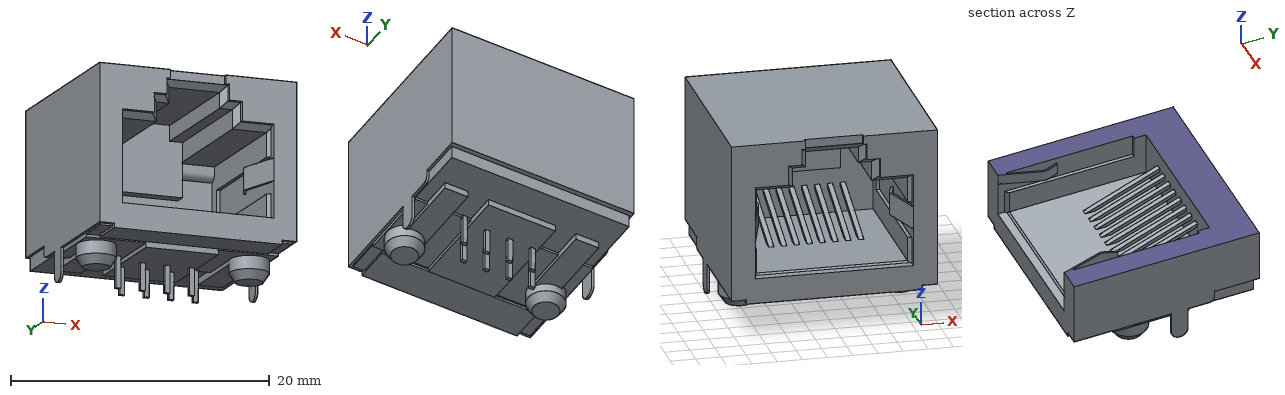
import cadquery as cq
import math

EPS = 0.01

WIDTH = 16.35
DEPTH = 15.7
TOP_Z = 13.1
SHEET = 0.21
SHELL_BOTTOM_Z = 0.35
REAR_RELIEF_Y = 11.86
REAR_RELIEF_Z = 1.34
REAR_RELIEF_RADIUS = 0.45
NOTCH_WIDTH = 4.6
NOTCH_DEPTH = 0.3
FRONT_STEP = 0.35

HOUSING_REAR_Y = 15.28
HOUSING_BOTTOM_Z = 0.21
FRONT_PAD_HALF = 6.97
FRONT_PAD_REAR_Y = 3.04
MID_PAD_FRONT_Y = 3.38
MID_PAD_REAR_Y = 9.83
PIN_PLATE_WIDTH = 6.0
STANDOFF_REAR_Y = 12.48
STANDOFF_BOTTOM_Z = -0.35
RAIL_INNER_X = 4.85
RAIL_OUTER_X = 6.9

OPEN_BOTTOM_Z = 2.05
OPEN_HALVES = (6.27, 3.65, 2.59)
OPEN_TOPS = (9.56, 11.12, 12.39)

STEP_CHAMFER = 0.5
CAVITY_FRONT_Y = FRONT_STEP + STEP_CHAMFER
CAVITY_REAR_Y = 12.4
CAVITY_BOTTOM_Z = 2.19
CAVITY_HALVES = (5.98,) + tuple(half - STEP_CHAMFER for half in OPEN_HALVES[1:])
CAVITY_TOPS = tuple(top - STEP_CHAMFER for top in OPEN_TOPS)
STOP_FRONT_Y = 11.4
STOP_BOTTOM_Z = 6.2
LEDGE_RADIUS = 0.53
LEDGE_BOTTOM_Z = 7.89
LEDGE_FRONT_Y = CAVITY_REAR_Y - LEDGE_RADIUS

POCKET_BOTTOM_Z = 4.14
POCKET_TOP_Z = 7.08
POCKET_REAR_Y = 11.4
SPRING_BOTTOM_Z = 5.06
SPRING_TOP_Z = 6.87
SPRING_ROOT_Y = 0.02
SPRING_BEND = (5.18, 3.6)
SPRING_TIP = (5.6, 4.75)
SPRING_BEND_RADIUS = 0.8

CONTACT_COUNT = 8
CONTACT_PITCH = 1.02
CONTACT_WIDTH = 0.41
CONTACT_THICKNESS = 0.3
CONTACT_START_Y = 6.1
CONTACT_TOP_Z = 4.6
PIN_ROWS_Y = (7.97, 9.75)
PIN_BOTTOM_Z = -2.55

PEG_X = 6.35
PEG_Y = 5.42
PEG_RADIUS = 1.57
PEG_TIP_RADIUS = 1.08
PEG_SHOULDER_Z = -1.06
PEG_BOTTOM_Z = -1.77
TAIL_Y = 8.94
TAIL_RADIUS = 0.7
TAIL_BOTTOM_Z = -2.26


def block(x_range, y_range, z_range):
    """Axis-aligned box between the given limits."""
    (x0, x1), (y0, y1), (z0, z1) = x_range, y_range, z_range
    return cq.Workplane("XY").box(x1 - x0, y1 - y0, z1 - z0, centered=False).translate((x0, y0, z0))


def centred_block(half_width, y_range, z_range):
    """Box symmetric about the middle plane."""
    return block((-half_width, half_width), y_range, z_range)


def both_sides(solid):
    """The solid together with its mirror image across the middle plane."""
    return solid.union(solid.mirror("YZ"))


def stepped_outline(y, bottom_z, halves, tops):
    """Closed staircase profile, mirrored in X, on the plane at the given Y."""
    right = [(halves[0], bottom_z)]
    for index, (half, top) in enumerate(zip(halves, tops)):
        if index > 0:
            right.append((half, tops[index - 1]))
        right.append((half, top))
    left = [(-x, z) for x, z in reversed(right)]
    return cq.Workplane("XZ", origin=(0, y, 0)).polyline(right + left).close()


def make_shell():
    """Shield outline with the raised rear part of its lower edge."""
    profile = (
        cq.Workplane("YZ", origin=(-WIDTH / 2, 0, 0))
        .moveTo(0, SHELL_BOTTOM_Z)
        .lineTo(REAR_RELIEF_Y - REAR_RELIEF_RADIUS, SHELL_BOTTOM_Z)
        .radiusArc((REAR_RELIEF_Y, SHELL_BOTTOM_Z + REAR_RELIEF_RADIUS), -REAR_RELIEF_RADIUS)
        .lineTo(REAR_RELIEF_Y, REAR_RELIEF_Z)
        .lineTo(DEPTH, REAR_RELIEF_Z)
        .lineTo(DEPTH, TOP_Z)
        .lineTo(0, TOP_Z)
        .close()
    )
    return profile.extrude(WIDTH)


def make_housing():
    """Plastic body with its standoff pads, the plate around the pins and a rail behind each peg."""
    half = WIDTH / 2 - SHEET
    body = centred_block(half, (FRONT_STEP, HOUSING_REAR_Y), (HOUSING_BOTTOM_Z, REAR_RELIEF_Z))
    front_pad = centred_block(FRONT_PAD_HALF, (0, FRONT_PAD_REAR_Y), (0, REAR_RELIEF_Z))
    mid_pad = centred_block(half, (MID_PAD_FRONT_Y, MID_PAD_REAR_Y), (0, REAR_RELIEF_Z))
    standoff_z = (STANDOFF_BOTTOM_Z, REAR_RELIEF_Z)
    plate = centred_block(PIN_PLATE_WIDTH / 2, (MID_PAD_FRONT_Y, STANDOFF_REAR_Y), standoff_z)
    rails = both_sides(block((RAIL_INNER_X, RAIL_OUTER_X), (PEG_Y, STANDOFF_REAR_Y), standoff_z))
    return body.union(front_pad).union(mid_pad).union(plate).union(rails)


def make_opening():
    """Stepped plug opening, narrowed by 45 degree chamfers, and the cavity behind it."""
    outline = (OPEN_BOTTOM_Z, OPEN_HALVES, OPEN_TOPS)
    inner = (CAVITY_BOTTOM_Z, CAVITY_HALVES, CAVITY_TOPS)
    widened = (
        CAVITY_BOTTOM_Z - STEP_CHAMFER,
        [half + STEP_CHAMFER for half in CAVITY_HALVES],
        [top + STEP_CHAMFER for top in CAVITY_TOPS],
    )
    entry = stepped_outline(0, *outline).extrude(-FRONT_STEP)
    mouth = stepped_outline(0, *outline).extrude(-CAVITY_FRONT_Y)
    wide_end = stepped_outline(FRONT_STEP, *widened).val()
    narrow_end = stepped_outline(CAVITY_FRONT_Y, *inner).val()
    funnel = cq.Workplane(cq.Solid.makeLoft([wide_end, narrow_end], True))
    cavity = stepped_outline(CAVITY_FRONT_Y, *inner).extrude(CAVITY_FRONT_Y - CAVITY_REAR_Y)
    return entry.union(mouth.intersect(funnel)).union(cavity)


def make_latch_notch():
    """Shallow notch in the front face above the opening."""
    return centred_block(NOTCH_WIDTH / 2, (0, NOTCH_DEPTH), (OPEN_TOPS[-1] - EPS, TOP_Z))


def make_side_pockets():
    """Recesses in both cavity walls that give the springs room."""
    return both_sides(
        block(
            (CAVITY_HALVES[0] - EPS, OPEN_HALVES[0]),
            (FRONT_STEP, POCKET_REAR_Y),
            (POCKET_BOTTOM_Z, POCKET_TOP_Z),
        )
    )


def make_stop_block():
    """Block in the upper rear of the cavity that ends the latch channel."""
    half = CAVITY_HALVES[1]
    return centred_block(half, (STOP_FRONT_Y, CAVITY_REAR_Y), (STOP_BOTTOM_Z, OPEN_TOPS[-1]))


def make_rear_ledges():
    """Round-nosed ledges on the cavity rear wall, beside the stop block."""
    ledge = block(
        (CAVITY_HALVES[1], CAVITY_HALVES[0]),
        (LEDGE_FRONT_Y, HOUSING_REAR_Y),
        (LEDGE_BOTTOM_Z, CAVITY_TOPS[0]),
    )
    return both_sides(ledge.edges("|X and <Y and <Z").fillet(LEDGE_RADIUS))


def make_springs():
    """Strips that lean into the cavity, bend and lean back out."""
    bend_x, bend_y = SPRING_BEND
    tip_x, tip_y = SPRING_TIP
    root_x = OPEN_HALVES[0]
    spring = (
        cq.Workplane("XY", origin=(0, 0, SPRING_BOTTOM_Z))
        .moveTo(root_x, SPRING_ROOT_Y)
        .lineTo(bend_x, bend_y)
        .lineTo(tip_x, tip_y)
        .lineTo(tip_x + SHEET, tip_y)
        .lineTo(bend_x + SHEET, bend_y)
        .lineTo(root_x + SHEET, SPRING_ROOT_Y)
        .close()
        .extrude(SPRING_TOP_Z - SPRING_BOTTOM_Z)
    )
    bend_edges = cq.selectors.BoxSelector(
        (bend_x - EPS, bend_y - EPS, SPRING_BOTTOM_Z),
        (bend_x + SHEET + EPS, bend_y + EPS, SPRING_TOP_Z),
    )
    return both_sides(spring.edges(bend_edges).fillet(SPRING_BEND_RADIUS))


def make_contacts():
    """Sloping contacts rising from the cavity floor, and solder pins in two staggered rows."""
    run = CAVITY_REAR_Y - CONTACT_START_Y
    rise = CONTACT_TOP_Z - CAVITY_BOTTOM_Z
    drop = CONTACT_THICKNESS / math.cos(math.atan2(rise, run))
    half = CONTACT_WIDTH / 2
    contacts = cq.Workplane("XY")
    for index in range(CONTACT_COUNT):
        x = (index - (CONTACT_COUNT - 1) / 2) * CONTACT_PITCH
        strip = (
            cq.Workplane("YZ", origin=(x - half, 0, 0))
            .polyline([
                (CONTACT_START_Y, CAVITY_BOTTOM_Z),
                (CAVITY_REAR_Y, CONTACT_TOP_Z),
                (CAVITY_REAR_Y, CONTACT_TOP_Z - drop),
                (CONTACT_START_Y, CAVITY_BOTTOM_Z - drop),
            ])
            .close()
            .extrude(CONTACT_WIDTH)
        )
        row_y = PIN_ROWS_Y[index % len(PIN_ROWS_Y)]
        pin = block(
            (x - half, x + half),
            (row_y - CONTACT_THICKNESS / 2, row_y + CONTACT_THICKNESS / 2),
            (PIN_BOTTOM_Z, REAR_RELIEF_Z),
        )
        contacts = contacts.union(strip).union(pin)
    return contacts


def make_pegs():
    """Round locating pegs with tapered tips."""
    peg = (
        cq.Workplane("XZ", origin=(PEG_X, PEG_Y, 0))
        .polyline([
            (0, HOUSING_BOTTOM_Z),
            (PEG_RADIUS, HOUSING_BOTTOM_Z),
            (PEG_RADIUS, PEG_SHOULDER_Z),
            (PEG_TIP_RADIUS, PEG_BOTTOM_Z),
            (0, PEG_BOTTOM_Z),
        ])
        .close()
        .revolve(360, (0, 0, 0), (0, 1, 0))
    )
    return both_sides(peg)


def make_tails():
    """Round-ended shield tails, one in each side wall."""
    tail = (
        cq.Workplane("YZ", origin=(WIDTH / 2 - SHEET, 0, 0))
        .moveTo(TAIL_Y - TAIL_RADIUS, REAR_RELIEF_Z)
        .lineTo(TAIL_Y - TAIL_RADIUS, TAIL_BOTTOM_Z + TAIL_RADIUS)
        .threePointArc((TAIL_Y, TAIL_BOTTOM_Z), (TAIL_Y + TAIL_RADIUS, TAIL_BOTTOM_Z + TAIL_RADIUS))
        .lineTo(TAIL_Y + TAIL_RADIUS, REAR_RELIEF_Z)
        .close()
        .extrude(SHEET)
    )
    return both_sides(tail)


def make_jack():
    """Complete jack: hollowed body first, then everything added inside and below."""
    jack = make_shell().union(make_housing())
    for recess in (make_opening(), make_latch_notch(), make_side_pockets()):
        jack = jack.cut(recess)
    for feature in (
        make_stop_block(),
        make_rear_ledges(),
        make_springs(),
        make_contacts(),
        make_pegs(),
        make_tails(),
    ):
        jack = jack.union(feature)
    return jack


result = make_jack()